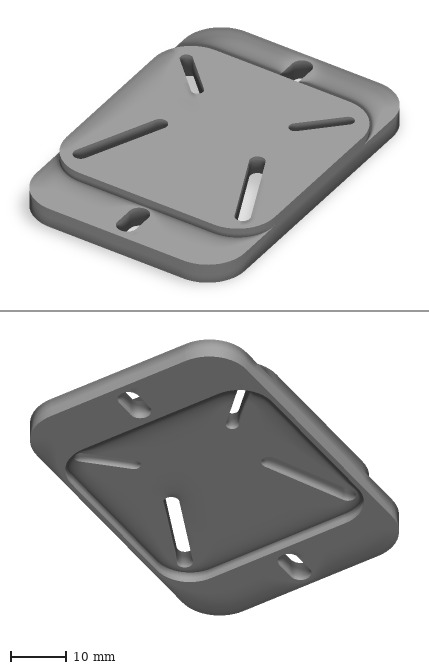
import cadquery as cq
import math

width = 45.0
base_length = 65.0
base_thickness = 4.0
pad_thickness = 1.95
corner_radius = 8.0
total_height = base_thickness + pad_thickness

mount_slot_width = 4.0
mount_slot_length = 8.0
mount_slot_y = 27.0

short_slot_outer = (17.5, 17.5)
short_slot_inner = (10.5, 10.5)
long_slot_inner = (10.5, -1.95)
long_slot_outer = (17.5, -17.5)
short_slot_width = 2.4
long_slot_width = 3.0

cavity_depth = 2.3
cavity_wall = 1.0
cavity_size = width - 2 * cavity_wall
cavity_corner_radius = corner_radius - cavity_wall


def rounded_block(x_size, y_size, height, radius, bottom=0):
    """Flat block centred on the Z axis with rounded upright edges."""
    block = cq.Workplane("XY").workplane(offset=bottom).rect(x_size, y_size).extrude(height)
    return block.edges("|Z").fillet(radius)


def slot_between(start, end, slot_width, height):
    """Upright round-ended slot rising from Z = 0, with end arcs centred on start and end."""
    run = end[0] - start[0]
    rise = end[1] - start[1]
    middle = ((start[0] + end[0]) / 2, (start[1] + end[1]) / 2)
    overall = math.hypot(run, rise) + slot_width
    angle = math.degrees(math.atan2(rise, run))
    return cq.Workplane("XY").center(*middle).slot2D(overall, slot_width, angle).extrude(height)


def mirrored(point, side):
    return (side * point[0], point[1])


base = rounded_block(width, base_length, base_thickness, corner_radius)
pad = rounded_block(width, width, pad_thickness, corner_radius, base_thickness)
cavity = rounded_block(cavity_size, cavity_size, cavity_depth, cavity_corner_radius)
result = base.union(pad).cut(cavity)

mount_slots = (
    cq.Workplane("XY")
    .pushPoints([(0, mount_slot_y), (0, -mount_slot_y)])
    .slot2D(mount_slot_length, mount_slot_width, 90)
    .extrude(base_thickness)
)
result = result.cut(mount_slots)

for side in (-1, 1):
    for inner, outer, slot_width in (
        (short_slot_inner, short_slot_outer, short_slot_width),
        (long_slot_inner, long_slot_outer, long_slot_width),
    ):
        start = mirrored(inner, side)
        end = mirrored(outer, side)
        result = result.cut(slot_between(start, end, slot_width, total_height))